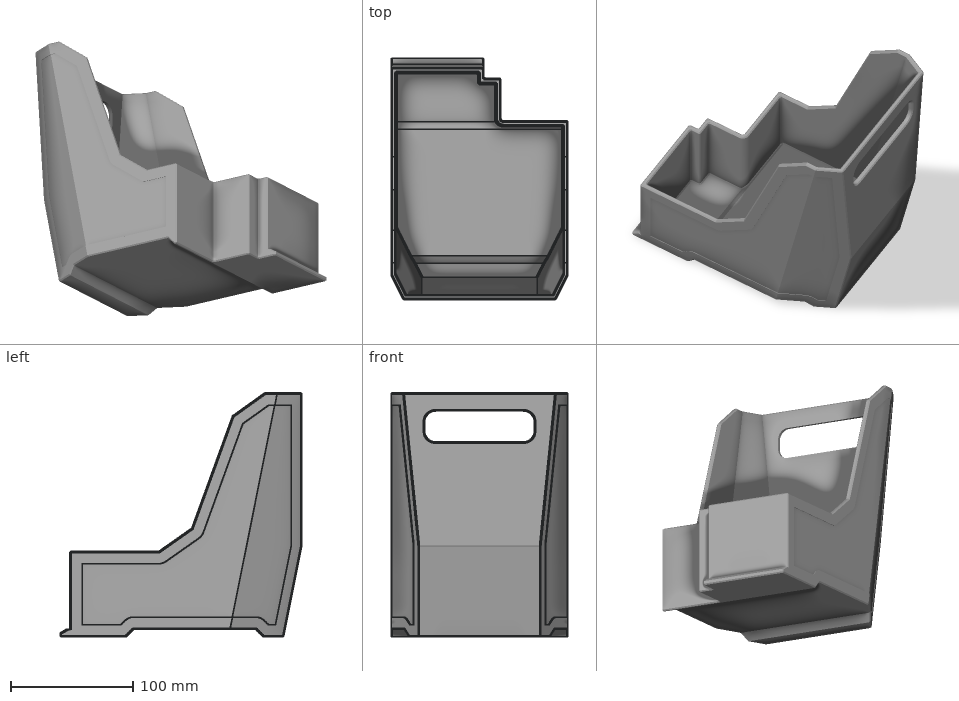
import cadquery as cq
import math

width = 145.0
height = 200.0
wall = 4.0
edge_break = 1.0
front_edge_break = 0.8
tolerance = 0.002
beyond = 2 * height

right_back_y = 146.5
step_back_y = 181.2
back_y = 190.0
hook_width = 76.0
step_width = 90.0
notch_radius = 2.0

low_rim_z = 70.0
rim_bends = [(117.0, low_rim_z), (90.0, 89.0), (56.5, 181.0), (30.0, height)]

lean = 0.2
lean_start_z = 74.5
corner_fold_y = 20.0
corner_slope = 0.5

foot_height = 6.2
front_foot_end_y = 31.5
rear_foot_start_y = 144.0

hook_tip_y = 197.8
hook_tip_z = 3.2
hook_top_y = 192.8

handle_width = 90.0
handle_height = 25.5
handle_z = 172.5
handle_radius = 9.0

panel_margin = 10.0
panel_front_margin = 8.5
panel_depth = 0.5

front_foot_y = lean * lean_start_z
underside = [
    (front_foot_y, 0),
    (front_foot_end_y, 0),
    (front_foot_end_y + foot_height, foot_height),
    (rear_foot_start_y - foot_height, foot_height),
    (rear_foot_start_y, 0),
]
plan = [
    (0, -back_y),
    (width, -back_y),
    (width, right_back_y),
    (step_width, right_back_y),
    (step_width, step_back_y),
    (hook_width, step_back_y),
    (hook_width, back_y),
    (0, back_y),
]


def side_outline(end_y):
    """Outer (Y, Z) outline of the bin from the front to an upright back at end_y."""
    return underside + [(end_y, 0), (end_y, low_rim_z)] + rim_bends + [(0, height), (0, lean_start_z)]


def side_profile(outline, inset=0.0):
    """Closed (Y, Z) outline, moved inwards by the inset, as a pending wire."""
    profile = cq.Workplane("YZ").polyline(outline).close()
    return profile.offset2D(-inset, "intersection") if inset else profile


def corner_cutter(side, inset):
    """Block outside one sloping front corner plane, moved inwards; side is -1 left, 1 right."""
    plane = cq.Plane(
        origin=(0 if side < 0 else width, corner_fold_y, height),
        xDir=(0, lean, -1),
        normal=(side, -corner_slope, -corner_slope * lean),
    )
    return cq.Workplane(plane).workplane(offset=-inset).rect(4 * height, 4 * height).extrude(height)


def envelope(inset):
    """Bin shape without a rim, open-ended upwards, with every face moved inwards by the inset."""
    outline = underside + [(beyond, 0), (beyond, beyond), (0, beyond), (0, lean_start_z)]
    shape = side_profile(outline, inset).extrude(width)
    plan_wire = cq.Workplane("XY").polyline(plan).close()
    if inset:
        plan_wire = plan_wire.offset2D(-inset, "intersection")
    shape = shape.intersect(plan_wire.extrude(beyond))
    for side in (-1, 1):
        shape = shape.cut(corner_cutter(side, inset))
    return shape


def edges_where(shape, test):
    """Edges of the shape whose midpoint and direction pass the test."""
    return shape.newObject([e for e in shape.edges().vals() if test(e.positionAt(0.5), e.tangentAt(0.5))])


def is_along(direction, axis):
    return abs(abs(direction.dot(cq.Vector(*axis))) - 2) < tolerance


def level_at(points, y):
    """Height at y of a line through (Y, Z) points, level beyond both ends."""
    points = sorted(points)
    if y <= points[0][0]:
        return points[0][1]
    for (y0, z0), (y1, z1) in zip(points, points[1:]):
        if y <= y1:
            return z0 + (z1 - z0) * (y - y0) / (y1 - y0)
    return points[-1][1]


def follows(points, bends):
    """Test for edges that lie on a (Y, Z) line, without the crosswise edges at its bends."""

    def test(middle, direction):
        at_bend = is_along(direction, (2, 0, 0)) and any(abs(middle.y - y) < tolerance for y, z in bends)
        return abs(middle.z - level_at(points, middle.y)) < tolerance and not at_bend

    return test


def is_front_corner(middle, direction):
    """Edges where the outer front face meets the sloping corner planes."""
    front_y = lean * max(0, lean_start_z - middle.z)
    return abs(middle.y - front_y) < tolerance and abs(direction.z) > abs(direction.x) + abs(direction.y)


def finish_upright_edges(shape, inset):
    """Round the inner corner of the right-hand step and chamfer every other upright edge."""

    def is_notch(middle, direction):
        offset = math.hypot(middle.x - step_width + inset, middle.y - right_back_y + inset)
        return is_along(direction, (0, 0, 2)) and offset < tolerance

    def is_plain(middle, direction):
        return is_along(direction, (0, 0, 2)) and not is_notch(middle, direction)

    shape = edges_where(shape, is_plain).chamfer(edge_break)
    return edges_where(shape, is_notch).fillet(notch_radius + inset)


def is_floor_edge(middle, direction):
    """Edges between the floor of the cavity and its side and back walls."""
    is_low = middle.z < foot_height + wall + tolerance and middle.y > front_foot_y
    if is_along(direction, (2, 0, 0)):
        backs = (right_back_y, step_back_y, back_y)
        return is_low and any(abs(middle.y + wall - y) < tolerance for y in backs)
    return is_low and not is_along(direction, (0, 0, 2))


def is_hook_side(middle, direction):
    """Edges along the top of the hook at its two ends."""
    is_on_hook = middle.y > back_y + edge_break and tolerance < middle.z < foot_height + tolerance
    return is_on_hook and direction.y**2 > 0.5


def make_body():
    """Solid block of the bin up to its rim, with the hook, before it is hollowed."""
    body = envelope(0).intersect(side_profile(side_outline(back_y)).extrude(width))
    hook_root_y = (rear_foot_start_y + back_y) / 2
    hook_outline = [
        (hook_root_y, 0),
        (hook_tip_y, 0),
        (hook_tip_y, hook_tip_z),
        (hook_top_y, foot_height),
        (hook_root_y, foot_height),
    ]
    body = body.union(side_profile(hook_outline).extrude(hook_width))
    body = finish_upright_edges(body, 0)
    body = edges_where(body, is_hook_side).chamfer(edge_break)
    body = edges_where(body, follows(underside, underside[1:])).chamfer(edge_break)
    return body


def make_cavity():
    """Inside of the bin, open-ended upwards."""
    cavity = finish_upright_edges(envelope(wall), wall)
    return edges_where(cavity, is_floor_edge).chamfer(edge_break)


def make_handle():
    """Cutter for the handle opening, widened by a chamfer at the front face."""
    opening = cq.Workplane("XZ").center(width / 2, handle_z).rect(handle_width, handle_height).extrude(-2 * wall)
    opening = opening.edges("|Y").fillet(handle_radius)
    flare = opening.faces("<Y").wires().toPending().offset2D(edge_break).extrude(-edge_break, taper=45)
    return opening.union(flare)


def make_panel(side):
    """Cutter for the shallow recess in one side, parallel to the side wall and its front corner."""
    margin_shift = panel_margin - panel_front_margin
    end_y = back_y if side < 0 else right_back_y
    outline = [(y - margin_shift if y <= front_foot_y else y, z) for y, z in side_outline(end_y)]
    start_x = 0 if side < 0 else width / 2
    panel = cq.Workplane("YZ").workplane(offset=start_x).polyline(outline).close()
    panel = panel.offset2D(-panel_margin, "arc").extrude(width / 2)
    return panel.cut(envelope(panel_depth))


result = make_body().cut(make_cavity())
result = edges_where(result, follows(rim_bends, rim_bends)).chamfer(edge_break)
result = edges_where(result, is_front_corner).chamfer(front_edge_break)
result = result.cut(make_handle())
for side in (-1, 1):
    result = result.cut(make_panel(side))